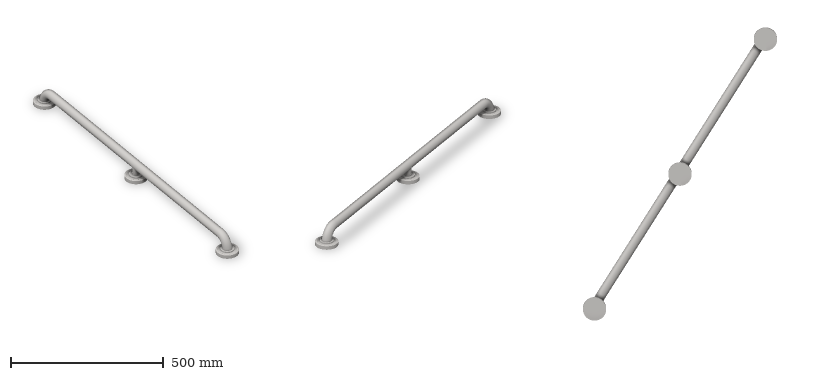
import cadquery as cq

length = 1143.0
height = 70.0

flange_diameter = 77.0
plate_height = 13.0
bead_height = 14.0
bead_width = 5.0
bead_inset = 2.0
ring_outer_diameter = 46.0
ring_inner_diameter = 40.0
ring_height = 17.0
ring_recess_depth = 1.0

tube_diameter = 32.0
bend_radius = 42.0

post_diameter = 24.0
sleeve_diameter = 25.0
sleeve_height = 21.0

flange_radius = flange_diameter / 2
tube_radius = tube_diameter / 2
rail_z = height - tube_radius
end_x = length / 2 - flange_radius
straight_half = end_x - bend_radius
bend_start_z = rail_z - bend_radius


def flange(x):
    """Round wall flange standing on Z = 0 at the given X."""
    bead_outer = flange_radius - bead_inset
    bead_middle = bead_outer - bead_width / 2
    bead_inner = bead_outer - bead_width
    ring_outer = ring_outer_diameter / 2
    ring_inner = ring_inner_diameter / 2
    recess_z = ring_height - ring_recess_depth
    profile = (
        cq.Workplane("XZ")
        .lineTo(flange_radius, 0)
        .lineTo(flange_radius, plate_height)
        .lineTo(bead_outer, plate_height)
        .threePointArc((bead_middle, bead_height), (bead_inner, plate_height))
        .lineTo(ring_outer, plate_height)
        .lineTo(ring_outer, ring_height)
        .lineTo(ring_inner, ring_height)
        .lineTo(ring_inner, recess_z)
        .lineTo(0, recess_z)
        .close()
    )
    return profile.revolve(360, (0, 0, 0), (0, 1, 0)).translate((x, 0, 0))


def end_bend(side):
    """Quarter bend from the end flange up to the straight rail; side is -1 or +1."""
    return (
        cq.Workplane("XY", origin=(side * end_x, 0, bend_start_z))
        .circle(tube_radius)
        .revolve(90, (-side * bend_radius, 0, 0), (-side * bend_radius, -side, 0))
    )


def centre_post():
    """Upright post from the middle flange into the rail, with its foot sleeve."""
    post = cq.Workplane("XY").circle(post_diameter / 2).extrude(rail_z)
    sleeve = cq.Workplane("XY").circle(sleeve_diameter / 2).extrude(sleeve_height)
    return post.union(sleeve)


rail = (
    cq.Workplane("YZ", origin=(-straight_half, 0, rail_z))
    .circle(tube_radius)
    .extrude(2 * straight_half)
)

result = rail.union(centre_post())
for side in (-1, 1):
    result = result.union(end_bend(side))
for x in (-end_x, 0, end_x):
    result = result.union(flange(x))